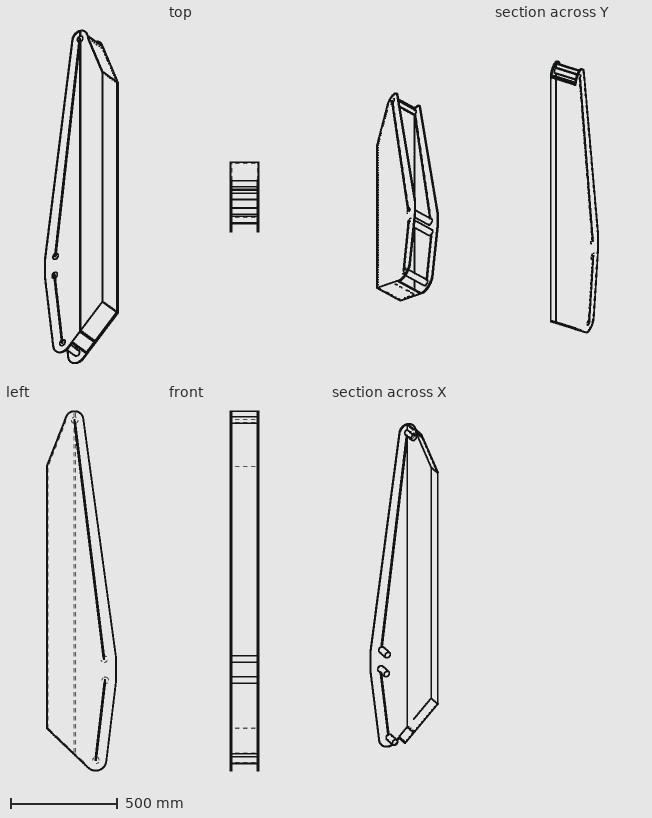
import cadquery as cq
import math

width = 132.0
depth = 325.0
height = 1687.0
sheet = 5.0

top_radius = 42.0
upper_nose_radius = 57.0
lower_nose_radius = 52.0
foot_radius = 50.0

top_roller = (195.0, height - top_radius)
upper_nose_roller = (upper_nose_radius, 525.0)
lower_nose_roller = (lower_nose_radius, 425.0)
foot_roller = (96.0, foot_radius)
roller_radius = 15.0
slot_width = 3.0

top_wall_end = 240.0
bottom_wall_end = 150.0

back_top = (depth, 1429.0)
back_bottom = (depth, 199.0)

corners = [
    (back_bottom, 0.0),
    (foot_roller, foot_radius),
    (lower_nose_roller, lower_nose_radius),
    (upper_nose_roller, upper_nose_radius),
    (top_roller, top_radius),
    (back_top, 0.0),
]


def point_on(centre, radius, angle):
    """Point at a polar angle and distance from a centre in the YZ plane."""
    return (centre[0] + radius * math.cos(angle), centre[1] + radius * math.sin(angle))


def tangent_angle(first, second):
    """Direction of the outward normal of the line touching two successive corners."""
    (start, start_radius), (end, end_radius) = first, second
    dy = end[0] - start[0]
    dz = end[1] - start[1]
    lean = math.acos((start_radius - end_radius) / math.hypot(dy, dz))
    return math.atan2(dz, dy) + lean


def plate_outline():
    """Closed outline of straight edges tangent to the corner arcs."""
    count = len(corners)
    normals = [tangent_angle(corners[i], corners[(i + 1) % count]) for i in range(count)]
    outline = cq.Workplane("YZ").moveTo(*back_bottom)
    for i in range(1, count):
        centre, radius = corners[i]
        arriving, leaving = normals[i - 1], normals[i]
        outline = outline.lineTo(*point_on(centre, radius, arriving))
        if radius > 0:
            sweep = (arriving - leaving) % (2 * math.pi)
            middle = point_on(centre, radius, arriving - sweep / 2)
            outline = outline.threePointArc(middle, point_on(centre, radius, leaving))
    return outline.close()


def sloped_wall(back_corner, roller, radius, normal, front_end):
    """Wall along a straight edge of the outline, from the back to front_end in Y."""
    tangent = point_on(roller, radius, normal)
    in_front = cq.Workplane("XY").box(width, front_end, height, centered=False)
    return (
        cq.Workplane("YZ")
        .polyline([
            back_corner,
            tangent,
            point_on(tangent, -sheet, normal),
            point_on(back_corner, -sheet, normal),
        ])
        .close()
        .extrude(width)
        .cut(in_front)
    )


def roller(centre):
    """Round bar spanning the gap between the inner faces of the side plates."""
    return (
        cq.Workplane("YZ", origin=(sheet, 0, 0))
        .center(*centre)
        .circle(roller_radius)
        .extrude(width - 2 * sheet)
    )


def slot(start, end):
    """Narrow through slot between two roller centres."""
    dy = end[0] - start[0]
    dz = end[1] - start[1]
    middle = ((start[0] + end[0]) / 2, (start[1] + end[1]) / 2)
    return (
        cq.Workplane("YZ")
        .center(*middle)
        .slot2D(math.hypot(dy, dz) + slot_width, slot_width, math.degrees(math.atan2(dz, dy)))
        .extrude(width)
    )


envelope = plate_outline().extrude(width)
cavity = cq.Workplane("XY").box(width - 2 * sheet, depth, height, centered=False).translate((sheet, 0, 0))
plates = envelope.cut(cavity)
plates = plates.cut(slot(top_roller, upper_nose_roller))
plates = plates.cut(slot(lower_nose_roller, foot_roller))

back_wall = cq.Workplane("XY").box(width, sheet, height, centered=False).translate((0, depth - sheet, 0))
partition = (
    cq.Workplane("XY")
    .box(width - 2 * sheet, sheet, height, centered=False)
    .translate((sheet, top_roller[0] - sheet / 2, 0))
)
top_normal = tangent_angle(corners[-2], corners[-1])
bottom_normal = tangent_angle(corners[0], corners[1])
top_wall = sloped_wall(back_top, top_roller, top_radius, top_normal, top_wall_end)
bottom_wall = sloped_wall(back_bottom, foot_roller, foot_radius, bottom_normal, bottom_wall_end)
walls = back_wall.union(partition).union(top_wall).union(bottom_wall).intersect(envelope)

result = plates.union(walls)
for centre in (top_roller, upper_nose_roller, lower_nose_roller, foot_roller):
    result = result.union(roller(centre))
result = result.clean()